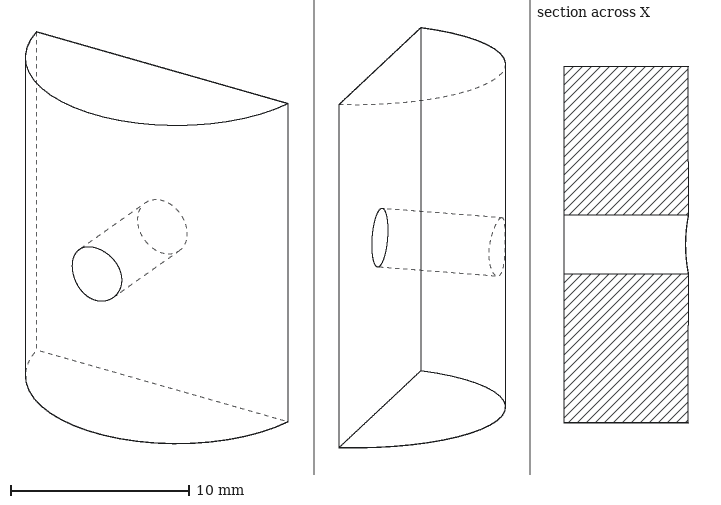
import cadquery as cq
import math

height = 20.0
round_radius = 8.5
depth = 7.0
hole_diameter = 3.3

flat_offset = round_radius - depth
half_width = math.sqrt(round_radius**2 - flat_offset**2)

segment = (
    cq.Workplane("XY")
    .moveTo(-half_width, -flat_offset)
    .threePointArc((0, -round_radius), (half_width, -flat_offset))
    .close()
    .extrude(height)
)

cross_hole = (
    cq.Workplane("XZ")
    .center(0, height / 2)
    .circle(hole_diameter / 2)
    .extrude(round_radius + depth)
)

result = segment.cut(cross_hole)